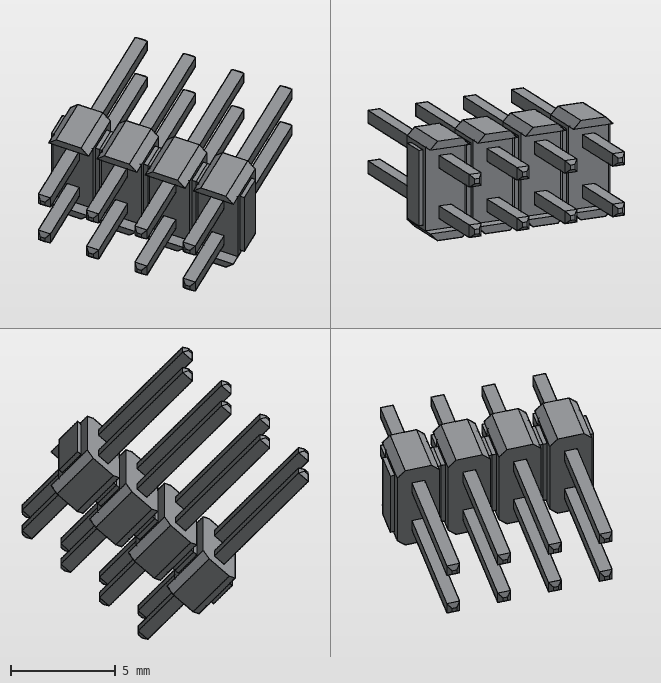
import cadquery as cq

cell_count = 4
header_length = 10.16
pin_length = 11.64
header_height = 5.0

pitch = header_length / cell_count

block_width = 2.11
block_depth = 2.0
flange_depth = pitch
flange_bevel = 0.4
flat_width = block_width - 2 * flange_bevel
block_height = header_height - 2 * flange_bevel

web_depth = 1.3
web_height = 3.8
web_setback = 0.26

pin_width = 0.64
tip_bevel = 0.2
pin_rear_length = 6.1

block_rear = pin_length / 2 - pin_rear_length
block_front = block_rear - block_depth
web_center = block_front + web_setback + web_depth / 2


def make_block():
    """Plain block between the two flanges."""
    block_center = (block_front + block_rear) / 2
    return cq.Workplane("XY").box(block_width, block_depth, block_height).translate((0, block_center, 0))


def make_flange(side):
    """Trapezoid flange, flush with the rear of the block; side is +1 for top, -1 for bottom."""
    root_z = side * block_height / 2
    outer_z = side * header_height / 2
    outline = [
        (-block_width / 2, root_z),
        (block_width / 2, root_z),
        (flat_width / 2, outer_z),
        (-flat_width / 2, outer_z),
    ]
    return cq.Workplane("XZ", origin=(0, block_rear, 0)).polyline(outline).close().extrude(flange_depth)


def make_web():
    """Web through the block, one pitch long, so that its ends meet the neighbouring cells."""
    return cq.Workplane("XY").box(pitch, web_depth, web_height).translate((0, web_center, 0))


def make_pin(row_z):
    """Square pin along Y with both tips bevelled."""
    pin = cq.Workplane("XY").box(pin_width, pin_length, pin_width)
    return pin.faces("<Y or >Y").chamfer(tip_bevel).translate((0, 0, row_z))


def make_cell(center_x):
    """One header cell: block, flanges, web and two pins as a single solid."""
    cell = make_block().union(make_web())
    for side in (-1, 1):
        cell = cell.union(make_flange(side))
        cell = cell.union(make_pin(side * pitch / 2))
    return cell.translate((center_x, 0, 0))


first_cell_x = -(header_length - pitch) / 2
cells = [make_cell(first_cell_x + index * pitch) for index in range(cell_count)]

result = cq.Compound.makeCompound([cell.solids().val() for cell in cells])